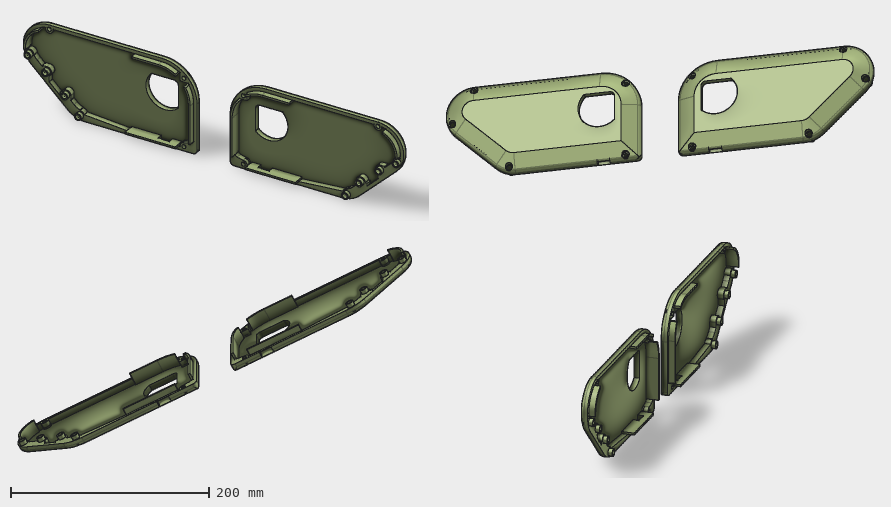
import cadquery as cq
import math


HALF_SPAN = 222.0
HALF_GAP = 19.3
TOP = 50.35
NOSE_RADIUS = 30.0
SHOULDER_RADIUS = 41.3
HEEL_RADIUS = 5.0
LOWER_NOSE_X = -149.5

LEFT = -HALF_SPAN
RIGHT = -HALF_GAP
BOTTOM = -TOP
NOSE = (LEFT + NOSE_RADIUS, TOP - NOSE_RADIUS)
LOWER_NOSE = (LOWER_NOSE_X, BOTTOM + NOSE_RADIUS)
SHOULDER = (RIGHT - SHOULDER_RADIUS, TOP - SHOULDER_RADIUS)
SLOPE_ANGLE = math.degrees(math.atan2(LOWER_NOSE[1] - NOSE[1], LOWER_NOSE[0] - NOSE[0]))

BACK = 9.8
FRONT = -BACK
RIM_FRONT = -3.0
POST_FRONT = -7.5
FLOOR = 3.5
EDGE_RADIUS = 4.0
BEVEL_START = 3.5
BEVEL_WIDTH = 18.5

RIM_WIDTH = 4.0
UPPER_SLOPE_RIM_WIDTH = 9.8
UPPER_SLOPE_RIM_END_X = -191.5
LOWER_SLOPE_RIM_WIDTH = 11.0
LOWER_SLOPE_RIM_START_X = -179.3
LIP_WIDTH = 2.0
TOP_LIP_START_X = -92.0
BOTTOM_LIP_START_X = -99.5
LIP_END_X = -41.0
SIDE_LIP_BOTTOM = -36.5
SIDE_LIP_TOP = 28.5
NOSE_LIP_BOTTOM = 17.7
NOSE_LIP_END_X = -200.5
BOTTOM_LEDGE_RISE = 4.5
BOTTOM_LEDGE_END_X = BOTTOM_LIP_START_X
HEEL_LEDGE_STEP = 1.8

POST_POINTS = [(-214.8, 10.0), (-194.5, -4.5), (-171.5, -25.0), (-155.7, -44.5)]
POST_DIAMETER = 8.0
POST_BOSS_RADIUS = 5.5
BOSS_CORNERS = [(-1, -1), (-1, 1), (1, -1), (-1, 1)]
POST_HOLE_DIAMETER = 5.5
CORNER_HOLE_DIAMETER = 4.5
SHOULDER_HOLE = (-34.5, 34.5)
HEEL_HOLE = (-34.5, -45.3)
NOSE_HOLE = (-191.5, 45.3)
HOLE_BOSS_RADIUS = 4.5
COUNTERBORE_DIAMETER = 7.5
COUNTERBORE_FLOOR = 2.0

WINDOW_RADIUS = 22.0
WINDOW_FLAT = 15.5
WINDOW_CORNER_RADIUS = 5.0
WINDOW_RIGHT = SHOULDER[0] + WINDOW_FLAT

SLOT_LEFT = -65.0
SLOT_RIGHT = -51.5
SLOT_FRONT = -2.5


def plane_at(y):
    """XZ sketch plane at the given Y; a negative extrusion goes toward +Y."""
    return cq.Workplane("XZ", origin=(0, y, 0))


def block(x0, x1, y0, y1, z0, z1):
    """Box between the given pairs of limits."""
    return cq.Workplane("XY").box(x1 - x0, y1 - y0, z1 - z0, centered=False).translate((x0, y0, z0))


def discs(points, diameter, y0, y1):
    """Cylinders along Y at the given (X, Z) points."""
    return plane_at(y0).pushPoints(points).circle(diameter / 2).extrude(y0 - y1)


def on_circle(centre, radius, degrees):
    """Point at the given angle on a circle."""
    angle = math.radians(degrees)
    return (centre[0] + radius * math.cos(angle), centre[1] + radius * math.sin(angle))


def outline(y, inset=0.0):
    """Outline of the cover moved inward by the inset, with a sharp heel corner."""
    nose_radius = NOSE_RADIUS - inset
    shoulder_radius = SHOULDER_RADIUS - inset
    slope_normal = SLOPE_ANGLE - 90
    nose_middle = (90 + slope_normal + 360) / 2
    lower_middle = (slope_normal - 90) / 2
    return (
        plane_at(y)
        .moveTo(NOSE[0], TOP - inset)
        .lineTo(SHOULDER[0], TOP - inset)
        .threePointArc(on_circle(SHOULDER, shoulder_radius, 45), (RIGHT - inset, SHOULDER[1]))
        .lineTo(RIGHT - inset, BOTTOM + inset)
        .lineTo(LOWER_NOSE[0], BOTTOM + inset)
        .threePointArc(
            on_circle(LOWER_NOSE, nose_radius, lower_middle),
            on_circle(LOWER_NOSE, nose_radius, slope_normal),
        )
        .lineTo(*on_circle(NOSE, nose_radius, slope_normal))
        .threePointArc(on_circle(NOSE, nose_radius, nose_middle), (NOSE[0], TOP - inset))
        .close()
    )


def bevelled_rim():
    """Outer ring of the cover: the edge profile swept once around the outline."""
    tilt = math.degrees(math.atan2(BACK - BEVEL_START, BEVEL_WIDTH))
    round_start = BEVEL_START - EDGE_RADIUS * math.tan(math.radians(90 - tilt) / 2)
    round_centre = (EDGE_RADIUS, round_start)
    round_end_angle = 90 + tilt
    round_middle_angle = (180 + round_end_angle) / 2
    section = cq.Plane(origin=(NOSE[0], 0, TOP), xDir=(0, 0, -1), normal=(1, 0, 0))
    profile = (
        cq.Workplane(section)
        .moveTo(0, RIM_FRONT)
        .lineTo(0, round_start)
        .threePointArc(
            on_circle(round_centre, EDGE_RADIUS, round_middle_angle),
            on_circle(round_centre, EDGE_RADIUS, round_end_angle),
        )
        .lineTo(BEVEL_WIDTH, BACK)
        .lineTo(BEVEL_WIDTH, RIM_FRONT)
        .close()
    )
    return profile.sweep(outline(0), transition="right")


def blank_plate():
    """Solid dished plate with its bevelled back and rounded heel."""
    core = outline(RIM_FRONT, BEVEL_WIDTH).extrude(RIM_FRONT - BACK)
    prism = outline(RIM_FRONT).extrude(RIM_FRONT - BACK)
    rounded_prism = prism.edges("|Y").edges(">X").edges("<Z").fillet(HEEL_RADIUS)
    return bevelled_rim().union(core).intersect(rounded_prism)


def slope_rim():
    """Rim along the sloping edge, widened on both sides of the middle posts."""
    start_x, start_z = POST_POINTS[0]
    end_x = POST_POINTS[3][0]
    lower_top = POST_POINTS[2][1]
    depth = RIM_FRONT - FLOOR
    plate = outline(RIM_FRONT).extrude(depth)
    upper = block(start_x, UPPER_SLOPE_RIM_END_X, RIM_FRONT, FLOOR, BOTTOM, start_z)
    lower = block(LOWER_SLOPE_RIM_START_X, end_x, RIM_FRONT, FLOOR, BOTTOM, lower_top)
    upper_rim = plate.cut(outline(RIM_FRONT, UPPER_SLOPE_RIM_WIDTH).extrude(depth)).intersect(upper)
    lower_rim = plate.cut(outline(RIM_FRONT, LOWER_SLOPE_RIM_WIDTH).extrude(depth)).intersect(lower)
    return upper_rim.union(lower_rim)


def bottom_ledge():
    """Wedge that thickens the bottom rim toward the lowest post."""
    rim_top = BOTTOM + RIM_WIDTH
    start_x = POST_POINTS[3][0]
    return (
        plane_at(RIM_FRONT)
        .moveTo(start_x, BOTTOM)
        .lineTo(BOTTOM_LEDGE_END_X, BOTTOM)
        .lineTo(BOTTOM_LEDGE_END_X, rim_top)
        .lineTo(start_x, rim_top + BOTTOM_LEDGE_RISE)
        .close()
        .extrude(RIM_FRONT - FLOOR)
    )


def heel_ledge():
    """Sloping filler in the heel corner of the recess, beside the heel screw hole."""
    hole_x, hole_z = HEEL_HOLE
    boss_top = hole_z + HOLE_BOSS_RADIUS
    side = RIGHT - RIM_WIDTH
    return (
        plane_at(RIM_FRONT)
        .moveTo(hole_x, BOTTOM + RIM_WIDTH)
        .lineTo(side, BOTTOM + RIM_WIDTH)
        .lineTo(side, SIDE_LIP_BOTTOM)
        .lineTo(side - HOLE_BOSS_RADIUS, boss_top + HEEL_LEDGE_STEP)
        .lineTo(hole_x, boss_top)
        .close()
        .extrude(RIM_FRONT - FLOOR)
    )


def bosses():
    """Bosses around every screw hole, from the rim level down to the recess floor."""
    shoulder_x, shoulder_z = SHOULDER_HOLE
    shoulder_pad = block(
        shoulder_x - HOLE_BOSS_RADIUS, RIGHT, RIM_FRONT, FLOOR, shoulder_z - HOLE_BOSS_RADIUS, TOP
    )
    post_bosses = discs(POST_POINTS, 2 * POST_BOSS_RADIUS, RIM_FRONT, FLOOR)
    hole_bosses = discs([NOSE_HOLE, HEEL_HOLE], 2 * HOLE_BOSS_RADIUS, RIM_FRONT, FLOOR)
    all_bosses = post_bosses.union(hole_bosses).union(shoulder_pad)
    for (x, z), (x_side, z_side) in zip(POST_POINTS, BOSS_CORNERS):
        x_low, x_high = sorted((x, x + x_side * POST_BOSS_RADIUS))
        z_low, z_high = sorted((z, z + z_side * POST_BOSS_RADIUS))
        all_bosses = all_bosses.union(block(x_low, x_high, RIM_FRONT, FLOOR, z_low, z_high))
    return all_bosses


def recess():
    """Pocket in the front face, left open around the thickened rim and the bosses."""
    pocket = outline(RIM_FRONT, RIM_WIDTH).extrude(RIM_FRONT - FLOOR)
    for solid_part in (slope_rim(), bottom_ledge(), heel_ledge(), bosses()):
        pocket = pocket.cut(solid_part)
    return pocket


def lips():
    """Thin locating lips that line the recess wall and stand out past the rim."""
    depth = FRONT - FLOOR
    band = outline(FRONT, RIM_WIDTH).extrude(depth).cut(outline(FRONT, RIM_WIDTH + LIP_WIDTH).extrude(depth))
    nose_lip = block(LEFT, NOSE_LIP_END_X, FRONT, FLOOR, NOSE_LIP_BOTTOM, TOP)
    top_lip = block(TOP_LIP_START_X, LIP_END_X, FRONT, FLOOR, SHOULDER[1], TOP)
    bottom_lip = block(BOTTOM_LIP_START_X, LIP_END_X, FRONT, FLOOR, BOTTOM, BOTTOM + 2 * RIM_WIDTH)
    side_lip = block(WINDOW_RIGHT, RIGHT, FRONT, FLOOR, SIDE_LIP_BOTTOM, SIDE_LIP_TOP)
    return band.intersect(nose_lip.union(top_lip).union(bottom_lip).union(side_lip))


def window():
    """Round opening with flats at its top and on the side nearest the mirror plane."""
    left = SHOULDER[0] - WINDOW_RADIUS
    bottom = SHOULDER[1] - WINDOW_RADIUS
    top = SHOULDER[1] + WINDOW_FLAT
    disc = discs([SHOULDER], 2 * WINDOW_RADIUS, RIM_FRONT, BACK)
    flats = block(left, WINDOW_RIGHT, RIM_FRONT, BACK, bottom, top)
    rounded_flats = flats.edges("|Y").edges(">X").edges(">Z").fillet(WINDOW_CORNER_RADIUS)
    return disc.intersect(rounded_flats)


def screw_holes():
    """Counterbored holes in the corners and end posts, blind holes in the middle posts."""
    corner_points = [NOSE_HOLE, SHOULDER_HOLE, HEEL_HOLE]
    end_posts = POST_POINTS[::3]
    middle_posts = POST_POINTS[1:3]
    corners = discs(corner_points, CORNER_HOLE_DIAMETER, RIM_FRONT, BACK)
    through_posts = discs(end_posts, POST_HOLE_DIAMETER, POST_FRONT, BACK)
    blind_posts = discs(middle_posts, POST_HOLE_DIAMETER, POST_FRONT, FLOOR)
    counterbores = discs(corner_points + end_posts, COUNTERBORE_DIAMETER, COUNTERBORE_FLOOR, BACK)
    return corners.union(through_posts).union(blind_posts).union(counterbores)


def cable_slot():
    """Slot through the bottom rim and the base of the bottom lip."""
    lip_top = BOTTOM + RIM_WIDTH + LIP_WIDTH
    return block(SLOT_LEFT, SLOT_RIGHT, SLOT_FRONT, FLOOR, BOTTOM, lip_top)


def side_cover():
    """Complete cover on the -X side."""
    posts = discs(POST_POINTS, POST_DIAMETER, POST_FRONT, RIM_FRONT)
    cover = blank_plate().cut(recess()).union(lips()).union(posts)
    return cover.cut(window()).cut(screw_holes()).cut(cable_slot())


left_cover = side_cover()
right_cover = left_cover.mirror("YZ")

result = cq.Compound.makeCompound([left_cover.val(), right_cover.val()])